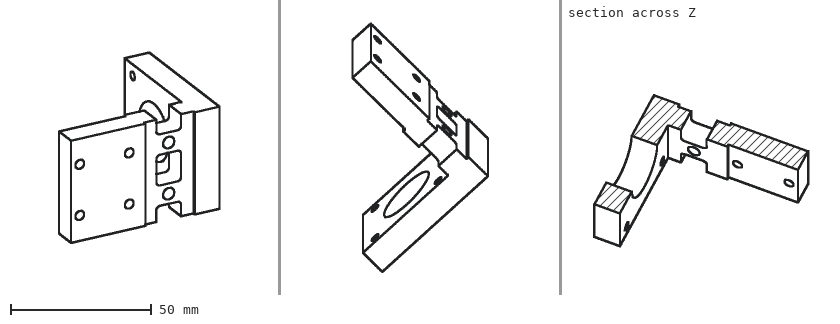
import cadquery as cq

plate_width = 52.0
plate_thickness = 10.0
height = 40.0

arm_thickness = 9.0
arm_offset = 1.0
arm_end = 60.0
outer_step = 30.0
inner_step = 33.0

motor_x = 21.5
motor_bore = 22.0
motor_hole_spacing = 31.0
motor_hole_diameter = 3.2

opening_start = 15.0
opening_length = 10.0
notch_depth = 6.0
window_height = 12.0
opening_radius = 1.5

row_spacing = 20.0
opening_hole_diameter = 4.5
end_hole_diameter = 3.5
end_hole_distances = (36.5, 56.5)

mid_z = height / 2
opening_mid = opening_start + opening_length / 2
arm_inner_x = plate_width - arm_offset - arm_thickness
arm_outer_x = plate_width - arm_offset


def along_y(distance):
    """Y position of a distance measured forward from the back of the plate."""
    return plate_thickness - distance


def make_body():
    outline = [
        (0, along_y(0)),
        (plate_width, along_y(0)),
        (plate_width, along_y(plate_thickness)),
        (arm_outer_x, along_y(plate_thickness)),
        (arm_outer_x, along_y(outer_step)),
        (plate_width, along_y(outer_step)),
        (plate_width, along_y(arm_end)),
        (arm_inner_x + arm_offset, along_y(arm_end)),
        (arm_inner_x + arm_offset, along_y(inner_step)),
        (arm_inner_x, along_y(inner_step)),
        (arm_inner_x, along_y(plate_thickness)),
        (0, along_y(plate_thickness)),
    ]
    return cq.Workplane("XY").polyline(outline).close().extrude(height)


def motor_cutters():
    """Centre bore and four screw holes through the plate."""
    face = cq.Workplane("XZ", origin=(motor_x, along_y(0), mid_z))
    bore = face.circle(motor_bore / 2).extrude(plate_thickness)
    screws = (
        face.rect(motor_hole_spacing, motor_hole_spacing, forConstruction=True)
        .vertices()
        .circle(motor_hole_diameter / 2)
        .extrude(plate_thickness)
    )
    return bore.union(screws)


def arm_opening(center_z, opening_height):
    """Block through the arm with its four X edges rounded."""
    return (
        cq.Workplane("YZ", origin=(arm_inner_x, along_y(opening_mid), center_z))
        .rect(opening_length, opening_height)
        .extrude(arm_thickness)
        .edges("|X")
        .fillet(opening_radius)
    )


def arm_hole_pair(distance, diameter):
    """Upper and lower holes through the arm at one distance from the back."""
    return (
        cq.Workplane("YZ", origin=(arm_inner_x, along_y(distance), mid_z))
        .pushPoints([(0, -row_spacing / 2), (0, row_spacing / 2)])
        .circle(diameter / 2)
        .extrude(arm_thickness + arm_offset)
    )


result = make_body().cut(motor_cutters())

result = result.cut(arm_opening(mid_z, window_height))
for edge_z in (0, height):
    result = result.cut(arm_opening(edge_z, 2 * notch_depth))

result = result.cut(arm_hole_pair(opening_mid, opening_hole_diameter))
for distance in end_hole_distances:
    result = result.cut(arm_hole_pair(distance, end_hole_diameter))